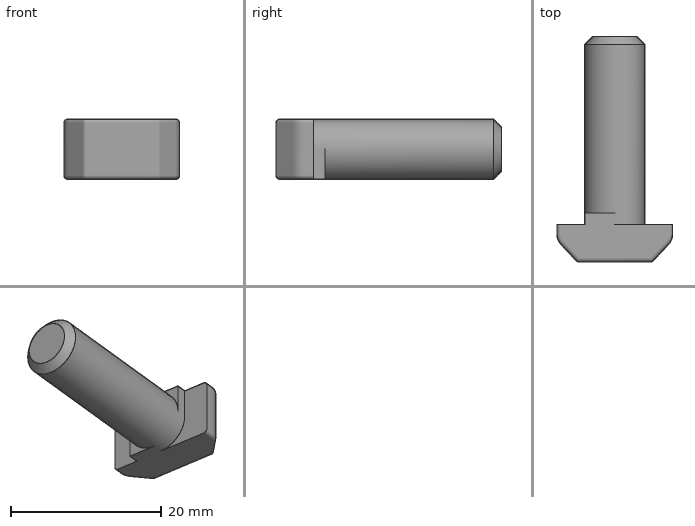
import cadquery as cq

total_length = 30
head_width = 15.4
head_depth = 5.0
shank_diameter = 8.0
head_height = shank_diameter
tip_chamfer = 1.05

slope_width = 2.73
slope_depth = 2.9
shoulder_radius = 2.0
edge_radius = 0.5

stop_length = 1.5

shank_radius = shank_diameter / 2
half_width = head_width / 2
head_front = -total_length / 2
head_back = head_front + head_depth
shoulder_y = head_front + slope_depth
front_half_width = half_width - slope_width


def corner_edges(head, x, y):
    """Pick the two upright head edges at (x, y) and (-x, y)."""
    half_box = 0.03
    selector = None
    for side in (-1, 1):
        box = cq.selectors.BoxSelector(
            (side * x - half_box, y - half_box, -half_box),
            (side * x + half_box, y + half_box, half_box),
        )
        selector = box if selector is None else selector + box
    return head.edges(selector)


def make_head():
    """Hammer head with sloped front corners, rounded everywhere but its back."""
    head = (
        cq.Workplane("XY")
        .moveTo(-half_width, head_back)
        .lineTo(-half_width, shoulder_y)
        .lineTo(-front_half_width, head_front)
        .lineTo(front_half_width, head_front)
        .lineTo(half_width, shoulder_y)
        .lineTo(half_width, head_back)
        .close()
        .extrude(head_height / 2, both=True)
    )
    head = corner_edges(head, half_width, shoulder_y).fillet(shoulder_radius)
    head = corner_edges(head, front_half_width, head_front).fillet(edge_radius)
    rims = head.faces("<Z or >Z").edges("not(>Y)")
    return rims.fillet(edge_radius)


def make_shank():
    """Round shank from the back of the head to the chamfered tip."""
    return (
        cq.Workplane("XZ", origin=(0, head_back, 0))
        .circle(shank_radius)
        .extrude(-(total_length - head_depth))
        .faces(">Y")
        .chamfer(tip_chamfer)
    )


def make_stop(side):
    """Stop block in one quadrant: side 1 is at -X and +Z, side -1 is opposite."""
    center = (-side * shank_radius / 2, head_back + stop_length / 2, side * shank_radius / 2)
    return cq.Workplane("XY").box(shank_radius, stop_length, shank_radius).translate(center)


result = make_head().union(make_shank())
for side in (-1, 1):
    result = result.union(make_stop(side))